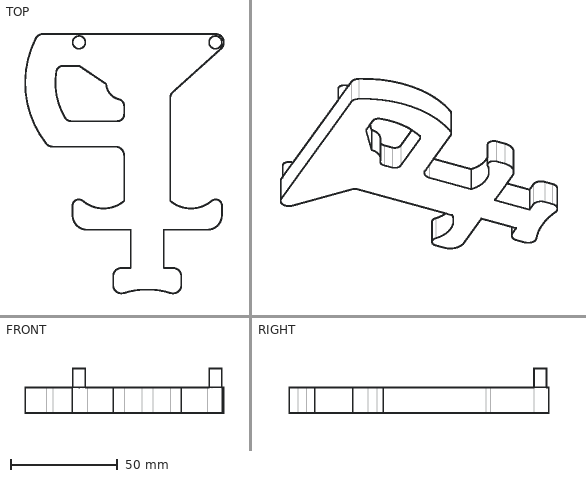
import cadquery as cq
import math


PLATE_THICKNESS = 12.0
PIN_HEIGHT = 9.0
PIN_DIAMETER = 6.0
PIN_OFFSET_X = 32.0
TIP_RADIUS = 4.0
TOP_Y = TIP_RADIUS

STEM_HALF_WIDTH = 10.9
STEM_BOTTOM_Y = -85.0
WEDGE_ANGLE = 42.0
WEDGE_FILLET = 3.0

LEFT_X = -57.34
HEAD_RADIUS = 46.0
WINDOW_RADIUS = 31.7
BULGE_RADIUS = 8.0
ARC_CENTER_X = LEFT_X + HEAD_RADIUS
ARC_CENTER_Y = -19.0
HEAD_BOTTOM_Y = -49.0
HEAD_FILLET = 4.0

WINDOW_TOP_Y = -11.1
WINDOW_BOTTOM_Y = -36.9
WINDOW_SLANT_START_X = -31.9
WINDOW_SLANT_END_ANGLE = 184.0
WINDOW_FILLET = 3.0

GUARD_HALF_WIDTH = 35.1
GUARD_BOTTOM_Y = -88.0
GUARD_LOWER_RADIUS = 7.0
HORN_RADIUS = 3.0
SADDLE_RADIUS = 15.0
SADDLE_CENTER_X = 20.5
SADDLE_CENTER_Y = -62.9

NECK_HALF_WIDTH = 7.75
FOOT_HALF_WIDTH = 16.05
FOOT_TOP_Y = -105.8
FOOT_BOTTOM_Y = -117.84
FOOT_RADIUS = 4.0
FOOT_HOLLOW_RADIUS = 36.0
FOOT_FLAT_HALF_WIDTH = 2.6


def box(x_min, x_max, y_min, y_max):
    """Plate-thick block between the given X and Y limits."""
    return (
        cq.Workplane("XY")
        .center((x_min + x_max) / 2, (y_min + y_max) / 2)
        .rect(x_max - x_min, y_max - y_min)
        .extrude(PLATE_THICKNESS)
    )


def disc(x, y, radius):
    """Plate-thick disc."""
    return cq.Workplane("XY").center(x, y).circle(radius).extrude(PLATE_THICKNESS)


def prism(points):
    """Plate-thick prism over a polygon."""
    return cq.Workplane("XY").polyline(points).close().extrude(PLATE_THICKNESS)


def round_corner(body, x, y, radius):
    """Fillet the upright edge nearest to (x, y)."""
    corner = cq.selectors.NearestToPointSelector((x, y, PLATE_THICKNESS / 2))
    return body.edges("|Z").edges(corner).fillet(radius)


def arc_x(radius, y):
    """X of the left side of a head arc at height y."""
    return ARC_CENTER_X - math.sqrt(radius**2 - (y - ARC_CENTER_Y) ** 2)


def make_head():
    """Head block with a curved left side and rounded left corners."""
    head = disc(ARC_CENTER_X, ARC_CENTER_Y, HEAD_RADIUS).intersect(
        box(LEFT_X, STEM_HALF_WIDTH, HEAD_BOTTOM_Y, TOP_Y)
    )
    for y in (TOP_Y, HEAD_BOTTOM_Y):
        head = round_corner(head, arc_x(HEAD_RADIUS, y), y, HEAD_FILLET)
    return head


def make_window():
    """Cutter for the window, with its corners rounded."""
    window = disc(ARC_CENTER_X, ARC_CENTER_Y, WINDOW_RADIUS).intersect(
        box(LEFT_X, -STEM_HALF_WIDTH, WINDOW_BOTTOM_Y, WINDOW_TOP_Y)
    )
    slant_angle = math.radians(WINDOW_SLANT_END_ANGLE)
    slant_end = (
        ARC_CENTER_X + BULGE_RADIUS * math.cos(slant_angle),
        ARC_CENTER_Y + BULGE_RADIUS * math.sin(slant_angle),
    )
    slant = prism(
        [
            (WINDOW_SLANT_START_X, WINDOW_TOP_Y),
            slant_end,
            (0, ARC_CENTER_Y),
            (0, WINDOW_TOP_Y),
        ]
    )
    window = window.cut(slant).cut(disc(ARC_CENTER_X, ARC_CENTER_Y, BULGE_RADIUS))
    corners = [
        (arc_x(WINDOW_RADIUS, WINDOW_TOP_Y), WINDOW_TOP_Y),
        (arc_x(WINDOW_RADIUS, WINDOW_BOTTOM_Y), WINDOW_BOTTOM_Y),
        (-STEM_HALF_WIDTH, WINDOW_BOTTOM_Y),
        (-STEM_HALF_WIDTH, ARC_CENTER_Y - BULGE_RADIUS),
    ]
    for x, y in corners:
        window = round_corner(window, x, y, WINDOW_FILLET)
    return window


def wedge_tangent_point():
    """Point where the slanted wedge side meets the rounded tip."""
    angle = math.radians(WEDGE_ANGLE)
    return PIN_OFFSET_X + TIP_RADIUS * math.sin(angle), -TIP_RADIUS * math.cos(angle)


def wedge_root_y():
    """Height at which the slanted wedge side meets the stem."""
    x, y = wedge_tangent_point()
    return y - (x - STEM_HALF_WIDTH) * math.tan(math.radians(WEDGE_ANGLE))


def make_wedge():
    """Wedge from the stem out to the rounded tip under the right pin."""
    wedge = prism(
        [
            (0, TOP_Y),
            (PIN_OFFSET_X, TOP_Y),
            (PIN_OFFSET_X, 0),
            wedge_tangent_point(),
            (STEM_HALF_WIDTH, wedge_root_y()),
            (0, wedge_root_y()),
        ]
    )
    return wedge.union(disc(PIN_OFFSET_X, 0, TIP_RADIUS))


def make_guard():
    """Cross guard with a horn and a saddle on each side of the stem."""
    horn_x = GUARD_HALF_WIDTH - HORN_RADIUS
    rise = math.sqrt((SADDLE_RADIUS + HORN_RADIUS) ** 2 - (horn_x - SADDLE_CENTER_X) ** 2)
    horn_y = SADDLE_CENTER_Y - rise
    guard = box(-GUARD_HALF_WIDTH, GUARD_HALF_WIDTH, GUARD_BOTTOM_Y, horn_y)
    for side in (-1, 1):
        guard = round_corner(guard, side * GUARD_HALF_WIDTH, GUARD_BOTTOM_Y, GUARD_LOWER_RADIUS)
    for side in (-1, 1):
        horn_fill = prism(
            [
                (0, horn_y),
                (side * horn_x, horn_y),
                (side * SADDLE_CENTER_X, SADDLE_CENTER_Y),
                (0, SADDLE_CENTER_Y),
            ]
        )
        saddle = disc(side * SADDLE_CENTER_X, SADDLE_CENTER_Y, SADDLE_RADIUS)
        guard = guard.union(horn_fill).cut(saddle)
        guard = guard.union(disc(side * horn_x, horn_y, HORN_RADIUS))
    return guard


def make_foot():
    """Foot with rounded corners and a shallow hollow, flat at its middle, along its lower side."""
    lobe_x = FOOT_HALF_WIDTH - FOOT_RADIUS
    lobe_y = FOOT_BOTTOM_Y + FOOT_RADIUS
    hollow_y = lobe_y - math.sqrt((FOOT_HOLLOW_RADIUS + FOOT_RADIUS) ** 2 - lobe_x**2)
    foot = box(-FOOT_HALF_WIDTH, FOOT_HALF_WIDTH, lobe_y, FOOT_TOP_Y)
    for side in (-1, 1):
        foot = round_corner(foot, side * FOOT_HALF_WIDTH, FOOT_TOP_Y, FOOT_RADIUS)
    flat_y = hollow_y + math.sqrt(FOOT_HOLLOW_RADIUS**2 - FOOT_FLAT_HALF_WIDTH**2)
    hollow = disc(0, hollow_y, FOOT_HOLLOW_RADIUS).intersect(
        box(-FOOT_HALF_WIDTH, FOOT_HALF_WIDTH, hollow_y, flat_y)
    )
    web = prism([(-lobe_x, lobe_y), (lobe_x, lobe_y), (0, hollow_y)])
    foot = foot.union(web).cut(hollow)
    for side in (-1, 1):
        foot = foot.union(disc(side * lobe_x, lobe_y, FOOT_RADIUS))
    return foot


def make_pins():
    """Two pins standing on the top face."""
    return (
        cq.Workplane("XY")
        .pushPoints([(-PIN_OFFSET_X, 0), (PIN_OFFSET_X, 0)])
        .circle(PIN_DIAMETER / 2)
        .extrude(PLATE_THICKNESS + PIN_HEIGHT)
    )


stem = box(-STEM_HALF_WIDTH, STEM_HALF_WIDTH, STEM_BOTTOM_Y, TOP_Y)
neck = box(-NECK_HALF_WIDTH, NECK_HALF_WIDTH, FOOT_TOP_Y, GUARD_BOTTOM_Y)

plate = make_head().union(stem).union(make_wedge()).clean()
plate = round_corner(plate, -STEM_HALF_WIDTH, HEAD_BOTTOM_Y, HEAD_FILLET)
plate = round_corner(plate, STEM_HALF_WIDTH, wedge_root_y(), WEDGE_FILLET)
plate = plate.union(make_guard()).union(neck).union(make_foot())
plate = plate.cut(make_window())

result = plate.union(make_pins()).clean()